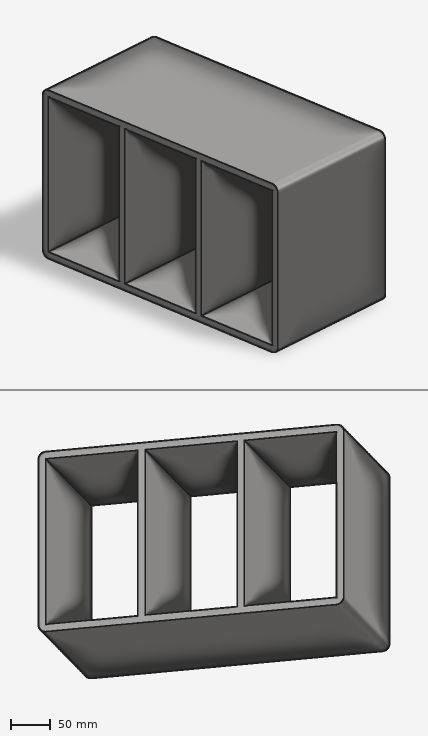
import cadquery as cq

width = 401.5
depth = 200.0
height = 238.0

wall = 9.5
divider = 9.5
corner_radius = 10.0
bay_count = 3

bay_width = (width - 2 * wall - (bay_count - 1) * divider) / bay_count
bay_height = height - 2 * wall
bay_pitch = bay_width + divider

block = cq.Workplane("XY").box(width, depth, height).edges("|Y").fillet(corner_radius)

bay_centers = [((i - (bay_count - 1) / 2) * bay_pitch, 0) for i in range(bay_count)]
bays = (
    cq.Workplane("XZ")
    .pushPoints(bay_centers)
    .rect(bay_width, bay_height)
    .extrude(depth / 2, both=True)
)

result = block.cut(bays)